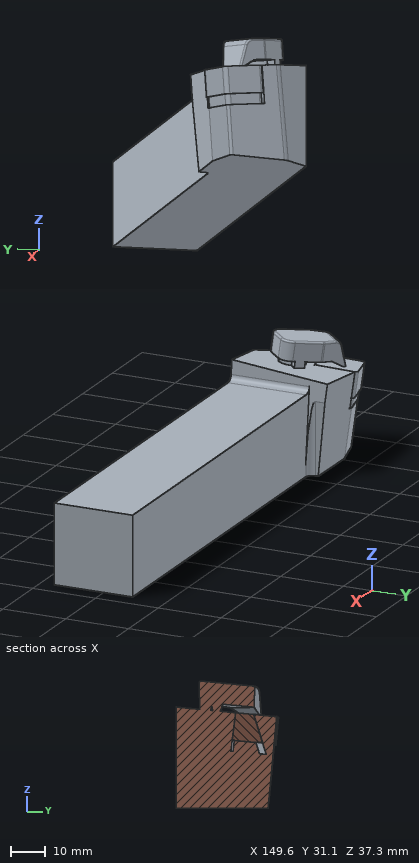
import cadquery as cq
import math

LENGTH = 149.6
SHANK_SIDE = 25.0
SHANK_START = 22.5

RAKE_SLOPE_X = 0.11
RAKE_SLOPE_Y = -0.095
TIP_X = -0.25
TIP_Y = 28.1
TIP_Z = 25.1
LEAD_ANGLE = 15.0

INSERT_SIDE = 12.7
INSERT_THICKNESS = 8.0
INSERT_CORNER_RADIUS = 1.2
SHIM_THICKNESS = 3.1
SHIM_INSET = 0.5

HEAD_WIDTH = 30.7
HEAD_BACK = 30.8
HEAD_BACK_LIMIT = 31.3
WALL_INSET = 0.52
NOSE_RADIUS = 0.7
BEVEL_START = 15.5
BEVEL_BLEND_RADIUS = 3.0
STEP_FILLET = 2.1
OVERSIZE = 44.9

CLAMP_TIP_X = 7.0
CLAMP_TIP_Y = 24.2
CLAMP_ANGLE = -45.0
CLAMP_LENGTH = 21.3
CLAMP_WIDTH = 12.4
CLAMP_TIP_WIDTH = 6.0
CLAMP_FLARE_END = 9.0
CLAMP_BACK_RADIUS = 3.3
CLAMP_FLARE_RADIUS = 1.5
CLAMP_GAP = 2.0
CLAMP_TOP = 8.1
CLAMP_EDGE_RADIUS = 0.6
NOSE_FOOT = 1.0
NOSE_RAMP_END = 5.4
NOSE_LEAN = 3.1
NOSE_ROUND = 2.5
BOSS_POSITION = 15.5
BOSS_RADIUS = 4.0
RIB_WIDTH = 3.1

lead_cos = math.cos(math.radians(LEAD_ANGLE))
lead_sin = math.sin(math.radians(LEAD_ANGLE))
lead_tan = math.tan(math.radians(LEAD_ANGLE))

rake = cq.Plane(
    origin=(TIP_X, TIP_Y, TIP_Z),
    xDir=(1, 0, RAKE_SLOPE_X),
    normal=(-RAKE_SLOPE_X, -RAKE_SLOPE_Y, 1),
)


def on_rake(body, x=0.0, y=0.0, angle=0.0):
    """Place a body built about the origin on the rake plane, at an offset from the insert's tip."""
    spot = cq.Location(rake) * cq.Location(cq.Vector(x, y, 0), cq.Vector(0, 0, 1), angle)
    return cq.Workplane(body.val().moved(spot))


def square_plate(inset, top, thickness):
    """A round-cornered square plate in line with the insert, its edges set in by the inset."""
    side = INSERT_SIDE - 2 * inset
    plate = (
        cq.Workplane("XY", origin=(INSERT_SIDE / 2, -INSERT_SIDE / 2, top - thickness / 2))
        .box(side, side, thickness)
        .edges("|Z").fillet(INSERT_CORNER_RADIUS)
    )
    return on_rake(plate, angle=LEAD_ANGLE)


def make_head():
    nose_x = WALL_INSET * (lead_cos + lead_sin)
    nose_y = WALL_INSET * (lead_sin - lead_cos)
    outer_y = HEAD_WIDTH - TIP_Y
    back_x = HEAD_BACK - TIP_X
    block = (
        cq.Workplane("XY")
        .moveTo(nose_x, nose_y)
        .lineTo(nose_x + (outer_y - nose_y) / lead_tan, outer_y)
        .lineTo(back_x, outer_y)
        .lineTo(back_x, -OVERSIZE)
        .lineTo(nose_x + (nose_y + OVERSIZE) * lead_tan, -OVERSIZE)
        .close()
        .extrude(-OVERSIZE)
        .edges("|Z and <X").fillet(NOSE_RADIUS)
    )
    limits = (
        cq.Workplane("XY")
        .moveTo(BEVEL_START, 0)
        .lineTo(HEAD_BACK_LIMIT, 0)
        .lineTo(HEAD_BACK_LIMIT, OVERSIZE)
        .lineTo(BEVEL_START - OVERSIZE, OVERSIZE)
        .close()
        .extrude(OVERSIZE)
    )
    head = on_rake(block).intersect(limits)
    return head.faces("<(1, 1, 0)").edges("<X").fillet(BEVEL_BLEND_RADIUS)


def make_clamp():
    """The clamp about the origin: tip at the origin, axis along +X, rake plane at Z = 0."""
    outline = (
        cq.Workplane("XY")
        .polyline([
            (0, -CLAMP_TIP_WIDTH / 2),
            (CLAMP_FLARE_END, -CLAMP_WIDTH / 2),
            (CLAMP_LENGTH, -CLAMP_WIDTH / 2),
            (CLAMP_LENGTH, CLAMP_WIDTH / 2),
            (CLAMP_FLARE_END, CLAMP_WIDTH / 2),
            (0, CLAMP_TIP_WIDTH / 2),
        ])
        .close().extrude(CLAMP_TOP)
    )
    outline = outline.edges("|Z and >X").fillet(CLAMP_BACK_RADIUS)
    for y in (-CLAMP_WIDTH / 2, CLAMP_WIDTH / 2):
        flare_edge = cq.selectors.NearestToPointSelector((CLAMP_FLARE_END, y, CLAMP_TOP / 2))
        outline = outline.edges(flare_edge).fillet(CLAMP_FLARE_RADIUS)
    profile = (
        cq.Workplane("XZ")
        .polyline([
            (0, 0),
            (NOSE_FOOT, 0),
            (NOSE_RAMP_END, CLAMP_GAP),
            (CLAMP_LENGTH, CLAMP_GAP),
            (CLAMP_LENGTH, CLAMP_TOP),
            (NOSE_LEAN, CLAMP_TOP),
        ])
        .close().extrude(CLAMP_WIDTH / 2, both=True)
    )
    nose_edge = cq.selectors.NearestToPointSelector((NOSE_LEAN, 0, CLAMP_TOP))
    profile = profile.edges(nose_edge).fillet(NOSE_ROUND)
    body = outline.intersect(profile)
    body = body.faces(">Z").edges(">X").fillet(CLAMP_EDGE_RADIUS)
    boss = cq.Workplane("XY").center(BOSS_POSITION, 0).circle(BOSS_RADIUS).extrude(CLAMP_GAP)
    rib = cq.Workplane("XY").center(BOSS_POSITION, 0).rect(RIB_WIDTH, CLAMP_WIDTH).extrude(CLAMP_GAP)
    return on_rake(
        body.union(boss).union(rib), CLAMP_TIP_X - TIP_X, CLAMP_TIP_Y - TIP_Y, CLAMP_ANGLE
    )


def make_holder():
    """Shank and head with the insert's pocket, in one piece with the shim and the clamp."""
    shank = cq.Workplane("XY").box(
        LENGTH - SHANK_START, SHANK_SIDE, SHANK_SIDE, centered=False
    ).translate((SHANK_START, 0, 0))
    holder = make_head().union(shank)
    for point in [
        (HEAD_BACK_LIMIT, SHANK_SIDE / 2, SHANK_SIDE),
        (HEAD_BACK_LIMIT, SHANK_SIDE, SHANK_SIDE / 2),
    ]:
        holder = holder.edges(cq.selectors.NearestToPointSelector(point)).fillet(STEP_FILLET)
    depth = INSERT_THICKNESS + SHIM_THICKNESS
    pocket = cq.Workplane("XY").box(
        INSERT_SIDE + OVERSIZE, INSERT_SIDE + OVERSIZE, depth, centered=False
    ).translate((-OVERSIZE, -INSERT_SIDE, -depth))
    holder = holder.cut(on_rake(pocket, angle=LEAD_ANGLE))
    shim = square_plate(SHIM_INSET, -INSERT_THICKNESS, SHIM_THICKNESS)
    return holder.union(shim).union(make_clamp())


def make_insert():
    return square_plate(0, 0, INSERT_THICKNESS)


holder = make_holder()
insert = make_insert()

result = cq.Compound.makeCompound([holder.solids().val(), insert.solids().val()])